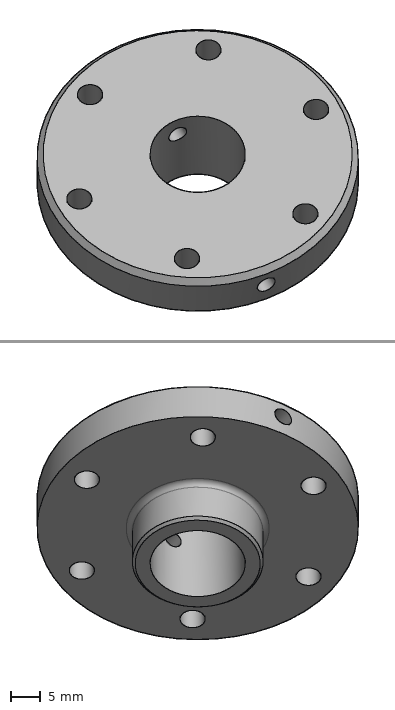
import cadquery as cq

flange_diameter = 54.0
flange_thickness = 8.0
rim_chamfer = 1.0

total_height = 16.25
hub_diameter = 22.0
hub_end_chamfer = 0.5
hub_root_fillet = 1.0

bore_diameter = 16.0
bolt_circle_diameter = 44.0
bolt_hole_diameter = 4.2
bolt_hole_count = 6
first_bolt_angle = 90.0
cross_hole_diameter = 3.3

flange_radius = flange_diameter / 2
hub_radius = hub_diameter / 2
hub_height = total_height - flange_thickness


def turned_body():
    """Flange and hub revolved about Z, with the hub end at Z = 0."""
    fillet_center = (hub_radius + hub_root_fillet, hub_height - hub_root_fillet)
    half_root = hub_root_fillet / 2**0.5
    profile = (
        cq.Workplane("XZ")
        .moveTo(0, 0)
        .lineTo(hub_radius - hub_end_chamfer, 0)
        .lineTo(hub_radius, hub_end_chamfer)
        .lineTo(hub_radius, fillet_center[1])
        .threePointArc(
            (fillet_center[0] - half_root, fillet_center[1] + half_root),
            (fillet_center[0], hub_height),
        )
        .lineTo(flange_radius, hub_height)
        .lineTo(flange_radius, total_height - rim_chamfer)
        .lineTo(flange_radius - rim_chamfer, total_height)
        .lineTo(0, total_height)
        .close()
    )
    return profile.revolve(360, (0, 0, 0), (0, 1, 0))


def bore():
    return cq.Workplane("XY").circle(bore_diameter / 2).extrude(total_height)


def bolt_holes():
    """Ring of through holes in the flange."""
    return (
        cq.Workplane("XY")
        .polarArray(bolt_circle_diameter / 2, first_bolt_angle, 360, bolt_hole_count)
        .circle(bolt_hole_diameter / 2)
        .extrude(total_height)
    )


def cross_hole():
    """Hole along X through the whole flange at mid-thickness."""
    return (
        cq.Workplane("YZ")
        .center(0, hub_height + flange_thickness / 2)
        .circle(cross_hole_diameter / 2)
        .extrude(flange_radius, both=True)
    )


result = turned_body().cut(bore()).cut(bolt_holes()).cut(cross_hole())